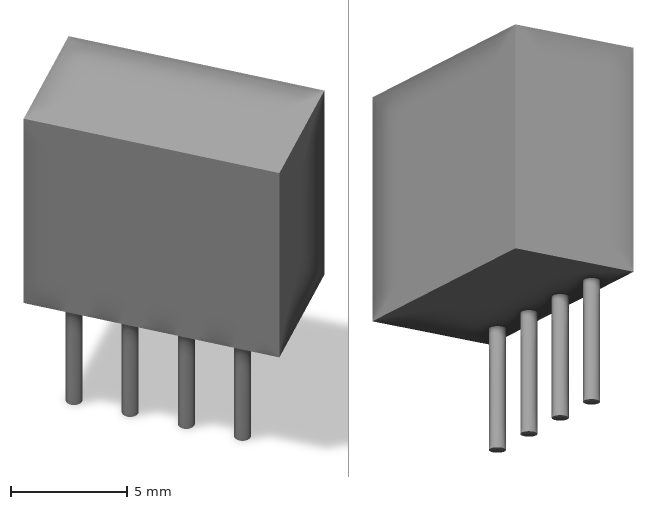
import cadquery as cq

housing_length = 11.61
housing_width = 6.0
total_height = 15.65

pin_count = 4
pin_diameter = 0.74
pin_length = 5.5
pin_pitch = 2.55
pin_front_inset = 0.89

housing_height = total_height - pin_length
pin_row_y = pin_front_inset - housing_width / 2
first_pin_x = -pin_pitch * (pin_count - 1) / 2


def make_housing():
    """Plain block with its underside at Z = 0, centred on X and Y."""
    return cq.Workplane("XY").box(
        housing_length, housing_width, housing_height, centered=(True, True, False)
    )


def make_pin(x):
    """Round pin hanging from the underside of the housing at the given X."""
    return (
        cq.Workplane("XY")
        .center(x, pin_row_y)
        .circle(pin_diameter / 2)
        .extrude(-pin_length)
    )


housing = make_housing()
pins = [make_pin(first_pin_x + i * pin_pitch) for i in range(pin_count)]

result = cq.Compound.makeCompound([housing.val(), *[pin.val() for pin in pins]])